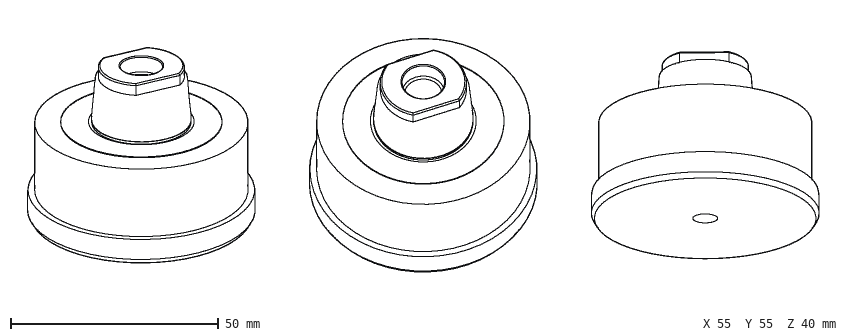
import cadquery as cq
import math

flange_radius = 27.5
flange_height = 6.6
bottom_bevel_width = 0.75
bottom_bevel_height = 1.3
top_bevel_width = 0.15
top_bevel_height = 1.0
body_radius = 25.75
body_top = 24.7
pad_radius = 19.5
pad_top = 24.9

foot_radius = 11.95
foot_top = 25.3
neck_base_radius = 12.05
neck_top_radius = 11.1
taper_start = 26.1
neck_top = 37.0
neck_edge_round = 0.45
recess_radius = 12.75
recess_depth = 0.3

head_radius = 10.4
total_height = 39.95
head_bevel = 0.4
flat_offset = 8.5
flat_angle = -30.0

bore_radius = 5.1
bore_bevel = 0.3
bore_depth = 4.2
seat_radius = 4.45
seat_height = 0.35
seat_bore_floor = 11.0
passage_radius = 2.95
floor_slope = 30.0


def revolve_profile(points):
    """Revolve a closed (radius, height) outline around the Z axis."""
    return cq.Workplane("XZ").polyline(points).close().revolve(360, (0, 0, 0), (0, 1, 0))


def make_base():
    return revolve_profile([
        (0, 0),
        (flange_radius - bottom_bevel_width, 0),
        (flange_radius, bottom_bevel_height),
        (flange_radius, flange_height - top_bevel_height),
        (flange_radius - top_bevel_width, flange_height),
        (body_radius, flange_height),
        (body_radius, body_top),
        (pad_radius, body_top),
        (pad_radius, pad_top),
        (recess_radius, pad_top),
        (foot_radius, pad_top - recess_depth),
        (0, pad_top - recess_depth),
    ])


def make_neck():
    neck = revolve_profile([
        (0, 0),
        (foot_radius, 0),
        (foot_radius, foot_top),
        (neck_base_radius, foot_top),
        (neck_base_radius, taper_start),
        (neck_top_radius, neck_top),
        (0, neck_top),
    ])
    return neck.faces(">Z").edges().fillet(neck_edge_round)


def make_head():
    height = total_height - neck_top
    head = cq.Workplane("XY").circle(head_radius).extrude(height)
    between_flats = cq.Workplane("XY").rect(2 * flat_offset, 2 * head_radius).extrude(height)
    head = head.intersect(between_flats).faces(">Z").edges().chamfer(head_bevel)
    return head.rotate((0, 0, 0), (0, 0, 1), flat_angle).translate((0, 0, neck_top))


def make_bore():
    floor_drop = (seat_radius - passage_radius) * math.tan(math.radians(floor_slope))
    bore_floor = total_height - bore_depth
    return revolve_profile([
        (0, 0),
        (passage_radius, 0),
        (passage_radius, seat_bore_floor - floor_drop),
        (seat_radius, seat_bore_floor),
        (seat_radius, bore_floor - seat_height),
        (bore_radius, bore_floor),
        (bore_radius, total_height - bore_bevel),
        (bore_radius + bore_bevel, total_height),
        (0, total_height),
    ])


result = make_base().union(make_neck()).union(make_head()).cut(make_bore())